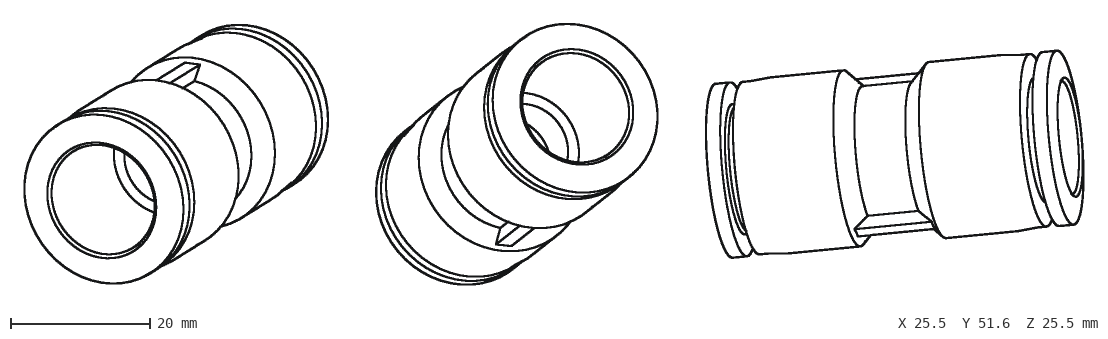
import cadquery as cq

length = 51.6
body_diameter = 25.5

through_diameter = 13.0
socket_diameter = 16.3
socket_mouth_diameter = 17.25
flange_diameter = 25.2
neck_diameter = 18.0
neck_root_diameter = 18.85
body_end_diameter = 25.0
body_face_diameter = 22.0
waist_diameter = 20.4

flange_edge = 0.7
flange_back = 2.85
neck_start = 3.3
body_face = 4.4
body_edge = 4.7
taper_start = 6.0
taper_end = 8.9
shoulder = 19.5
shoulder_slope = (body_diameter - waist_diameter) / 2
waist_start = shoulder + shoulder_slope
mouth_chamfer = (socket_mouth_diameter - socket_diameter) / 2
socket_depth = waist_start

rib_width = 2.35
rib_height = 24.15
rib_overlap = 0.5

half_length = length / 2


def fitting_body():
    """Revolve the symmetric profile of the whole fitting about Y."""
    stations = [
        (through_diameter, socket_depth),
        (socket_diameter, socket_depth),
        (socket_diameter, mouth_chamfer),
        (socket_mouth_diameter, 0),
        (flange_diameter, flange_edge),
        (flange_diameter, flange_back),
        (neck_root_diameter, flange_back),
        (neck_diameter, neck_start),
        (neck_diameter, body_face),
        (body_face_diameter, body_face),
        (body_end_diameter, body_edge),
        (body_end_diameter, taper_start),
        (body_diameter, taper_end),
        (body_diameter, shoulder),
        (waist_diameter, waist_start),
    ]
    near_side = [(diameter / 2, distance - half_length) for diameter, distance in stations]
    far_side = [(radius, -y) for radius, y in reversed(near_side)]
    profile = near_side + far_side
    return cq.Workplane("XY").polyline(profile).close().revolve(360, (0, 0), (0, 1))


def waist_ribs():
    """Upper and lower ribs that run into the shoulder cones and stay clear of the bore."""
    rib_length = length - 2 * shoulder
    plate = cq.Workplane("XY").box(rib_width, rib_length, rib_height)
    core_radius = waist_diameter / 2 - rib_overlap
    core = cq.Workplane("XZ").circle(core_radius).extrude(half_length, both=True)
    return plate.cut(core)


result = fitting_body().union(waist_ribs())